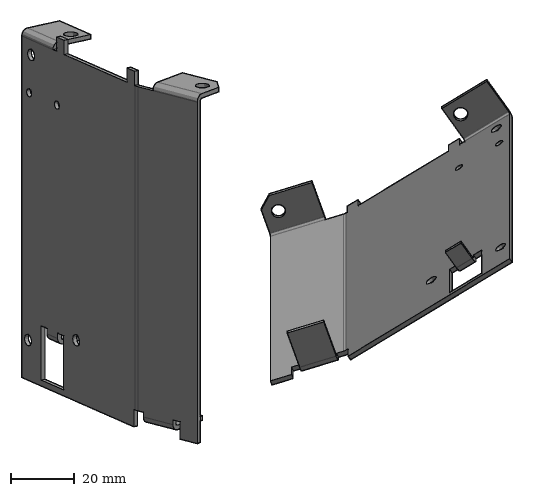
import cadquery as cq
import math

thickness = 1.5
tab_bend_radius = 2.2
side_bend_radius = 4.7
side_bend_angle = 15.0
side_bend_x = 62.0
overall_width = 86.0
overall_height = 117.3
sheet_height = 112.6
join_overlap = 1.2

lug_width = 4.1
lug_left_xs = (18.9, 56.9)

plate_hole_diameter = 3.6
plate_hole_places = ((5.0, 107.7), (29.5, 20.2), (3.4, 13.3))
small_hole_diameter = 2.6
small_hole_places = ((4.0, 94.9), (19.0, 94.9))

window_left, window_right = 10.5, 22.5
window_bottom, window_top = 2.0, 19.8
window_tab_left, window_tab_right = 13.6, 19.5
window_tab_bottom = 15.8
window_tab_depth = 8.6

tab_depth = 14.5
top_tab_height = sheet_height + tab_bend_radius
left_tab_width = 16.9
left_tab_hole_diameter = 4.5
left_tab_hole_x, left_tab_hole_y = 13.0, 9.6

side_length = (overall_width - side_bend_x) / math.cos(math.radians(side_bend_angle))
side_tab_start = 6.7
side_tab_chamfer = 4.0
side_tab_hole_diameter = 4.3
side_tab_hole_from_end = 5.0
side_tab_hole_y = 8.6

notch_left_x = 60.6
notch_end = 17.7
notch_top = 5.7
lower_tab_start, lower_tab_end = 2.8, 14.9
lower_tab_bottom = 2.0


def box(x0, x1, y0, y1, z0, z1):
    return cq.Workplane("XY").box(x1 - x0, y1 - y0, z1 - z0, centered=False).translate((x0, y0, z0))


def on_side_panel(shape):
    """Swing a shape laid out along the plate round to the side panel."""
    return shape.rotate((0, 0, 0), (0, 0, 1), side_bend_angle).translate((side_bend_x, 0, 0))


def folded_tab(x0, x1, depth, root_z, outer_z):
    """Tab that leaves the sheet at root_z and folds back to +Y, its outer face at outer_z."""
    up = math.copysign(1, outer_z - root_z)
    inner_radius = tab_bend_radius - thickness
    centre_z = outer_z - up * tab_bend_radius
    diagonal = math.sqrt(0.5)

    def arc_middle(radius):
        return (tab_bend_radius - radius * diagonal, centre_z + up * radius * diagonal)

    return (
        cq.Workplane("YZ", origin=(x0, 0, 0))
        .moveTo(0, root_z)
        .lineTo(0, centre_z)
        .threePointArc(arc_middle(tab_bend_radius), (tab_bend_radius, outer_z))
        .lineTo(depth, outer_z)
        .lineTo(depth, outer_z - up * thickness)
        .lineTo(tab_bend_radius, outer_z - up * thickness)
        .threePointArc(arc_middle(inner_radius), (thickness, centre_z))
        .lineTo(thickness, root_z)
        .close()
        .extrude(x1 - x0)
    )


def bent_sheet():
    """Flat plate, side bend and side panel as one profile pulled upwards."""
    angle = math.radians(side_bend_angle)
    tangent = side_bend_radius * math.tan(angle / 2)
    centre_x = side_bend_x - tangent

    def on_bend(radius, turn):
        return (centre_x + radius * math.sin(turn), side_bend_radius - radius * math.cos(turn))

    end_x, end_y = overall_width, side_length * math.sin(angle)
    inner = side_bend_radius - thickness
    return (
        cq.Workplane("XY")
        .lineTo(centre_x, 0)
        .threePointArc(on_bend(side_bend_radius, angle / 2), on_bend(side_bend_radius, angle))
        .lineTo(end_x, end_y)
        .lineTo(end_x - thickness * math.sin(angle), end_y + thickness * math.cos(angle))
        .lineTo(*on_bend(inner, angle))
        .threePointArc(on_bend(inner, angle / 2), on_bend(inner, 0))
        .lineTo(0, thickness)
        .close()
        .extrude(sheet_height)
    )


def plate_holes(diameter, places):
    return cq.Workplane("XZ").pushPoints(places).circle(diameter / 2).extrude(-thickness)


def tab_hole(diameter, x, y):
    underside = cq.Workplane("XY", origin=(x, y, top_tab_height - thickness))
    return underside.circle(diameter / 2).extrude(thickness)


def window():
    return box(window_left, window_right, 0, thickness, window_bottom, window_top)


def left_tab():
    tab = folded_tab(0, left_tab_width, tab_depth, sheet_height - join_overlap, top_tab_height)
    return tab.cut(tab_hole(left_tab_hole_diameter, left_tab_hole_x, left_tab_hole_y))


def side_tab():
    """Tab at the top of the side panel, with its outer corner cut off."""
    tab = folded_tab(side_tab_start, side_length, tab_depth, sheet_height - join_overlap, top_tab_height)
    tab = tab.edges("|Z and >X and >Y").chamfer(side_tab_chamfer)
    hole_x = side_length - side_tab_hole_from_end
    return on_side_panel(tab.cut(tab_hole(side_tab_hole_diameter, hole_x, side_tab_hole_y)))


def notch():
    """Cut in the lower edge that runs from the plate, through the bend, into the side panel."""
    plate_part = box(notch_left_x, side_bend_x + thickness, 0, 2 * thickness, 0, notch_top)
    panel_part = on_side_panel(box(0, notch_end, 0, thickness, 0, notch_top))
    return plate_part.union(panel_part)


def lower_tab():
    return on_side_panel(
        folded_tab(lower_tab_start, lower_tab_end, tab_depth, notch_top, lower_tab_bottom)
    )


bracket = bent_sheet()
for x in lug_left_xs:
    lug = box(x, x + lug_width, 0, thickness, sheet_height - join_overlap, overall_height)
    bracket = bracket.union(lug)
bracket = bracket.cut(plate_holes(plate_hole_diameter, plate_hole_places))
bracket = bracket.cut(plate_holes(small_hole_diameter, small_hole_places))
bracket = bracket.cut(window())
bracket = bracket.union(
    folded_tab(window_tab_left, window_tab_right, window_tab_depth, window_top, window_tab_bottom)
)
bracket = bracket.union(left_tab())
bracket = bracket.union(side_tab())
bracket = bracket.cut(notch())
bracket = bracket.union(lower_tab())

result = cq.Compound.makeCompound([bracket.solids().val()])